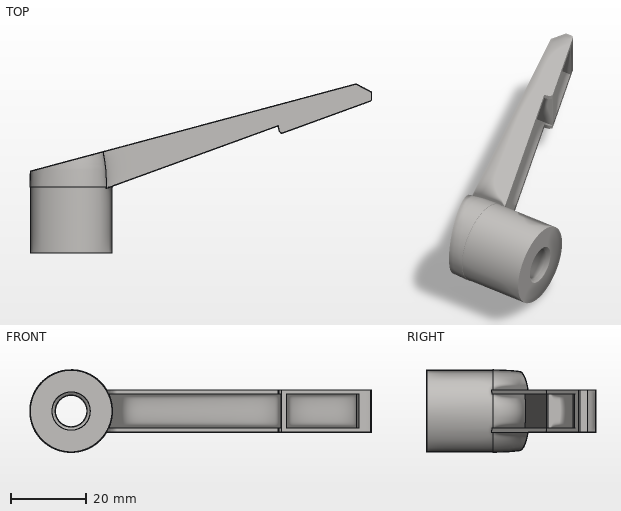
import cadquery as cq
import math

cap_radius = 11.0
cap_lip = 0.14
barrel_radius = cap_radius - cap_lip
barrel_length = 17.65
cap_curve_radius = 54.6
bore_radius = 4.2
bore_mouth_radius = 5.1
counterbore_radius = 5.8
counterbore_floor = barrel_length

arm_width = 11.3
wall = 1.1
top_slope = math.tan(math.radians(15))
grip_slope = math.tan(math.radians(20))
top_height_on_axis = 24.75
under_height_on_axis = 13.8
overall_length = 91.0
tip_x = overall_length - cap_radius
tip_top_x = 75.8
tip_top_y = 42.9
tip_corner = 0.4
step_x = 55.1
heel_x = 55.3
heel_y = 32.5
toe_x = 56.0
toe_y = 31.85

rib_start_x = 55.9
rib_end_x = 57.3
tip_pocket_end_x = 76.5
tip_pocket_bevel = 0.55


def top_y(x):
    return top_height_on_axis + top_slope * x


def floor_y(x):
    """Height of the pocket floors, one wall thickness below the arm's top face."""
    return top_y(x) - wall * math.hypot(1, top_slope)


def under_y(x):
    return under_height_on_axis + grip_slope * x


def grip_y(x):
    return toe_y + grip_slope * (x - toe_x)


def plate(points, width):
    """Extrude an XY outline symmetrically about Z = 0."""
    return cq.Workplane("XY").polyline(points).close().extrude(width / 2, both=True)


def revolve_about_hub_axis(profile):
    return profile.close().revolve(360, (0, 0, 0), (0, 1, 0))


def make_hub():
    barrel = cq.Workplane("XZ").circle(barrel_radius).extrude(-barrel_length)
    cap_end = top_y(cap_radius)

    def cap_edge(y):
        rise = y - barrel_length
        return cap_radius - cap_curve_radius + math.sqrt(cap_curve_radius**2 - rise**2)

    cap_middle = (barrel_length + cap_end) / 2
    cap = revolve_about_hub_axis(
        cq.Workplane("XY")
        .moveTo(0, barrel_length)
        .lineTo(cap_radius, barrel_length)
        .threePointArc((cap_edge(cap_middle), cap_middle), (cap_edge(cap_end), cap_end))
        .lineTo(0, cap_end)
    )
    side = 2 * cap_radius
    below_top = plate([(-side, 0), (side, 0), (side, top_y(side)), (-side, top_y(-side))], 2 * side)
    return barrel.union(cap.intersect(below_top))


def make_arm():
    tip_bottom_x = tip_x - tip_corner
    outline = [
        (0, top_y(0)),
        (tip_top_x, top_y(tip_top_x)),
        (tip_x, tip_top_y),
        (tip_x, grip_y(tip_bottom_x) + tip_corner),
        (tip_bottom_x, grip_y(tip_bottom_x)),
        (toe_x, toe_y),
        (heel_x, heel_y),
        (step_x, under_y(step_x)),
        (0, under_y(0)),
    ]
    return plate(outline, arm_width)


def make_pockets():
    pocket_width = arm_width - 2 * wall
    long_pocket = plate(
        [(0, 0), (rib_start_x, 0), (rib_start_x, floor_y(rib_start_x)), (0, floor_y(0))],
        pocket_width,
    )
    bevel_x = tip_pocket_end_x - tip_pocket_bevel
    bevel_drop = tip_pocket_bevel / 2
    tip_pocket = plate(
        [
            (rib_end_x, 0),
            (tip_pocket_end_x, 0),
            (tip_pocket_end_x, floor_y(bevel_x) - bevel_drop),
            (bevel_x, floor_y(bevel_x)),
            (rib_end_x, floor_y(rib_end_x)),
        ],
        pocket_width,
    )
    return long_pocket.union(tip_pocket)


def make_bore():
    """Through bore, chamfered at the end face and counterbored from the slanted top."""
    mouth_depth = bore_mouth_radius - bore_radius
    beyond_top = top_y(2 * cap_radius)
    return revolve_about_hub_axis(
        cq.Workplane("XY").polyline([
            (0, 0),
            (bore_mouth_radius, 0),
            (bore_radius, mouth_depth),
            (bore_radius, counterbore_floor),
            (counterbore_radius, counterbore_floor),
            (counterbore_radius, beyond_top),
            (0, beyond_top),
        ])
    )


result = make_arm().cut(make_pockets()).union(make_hub()).cut(make_bore())